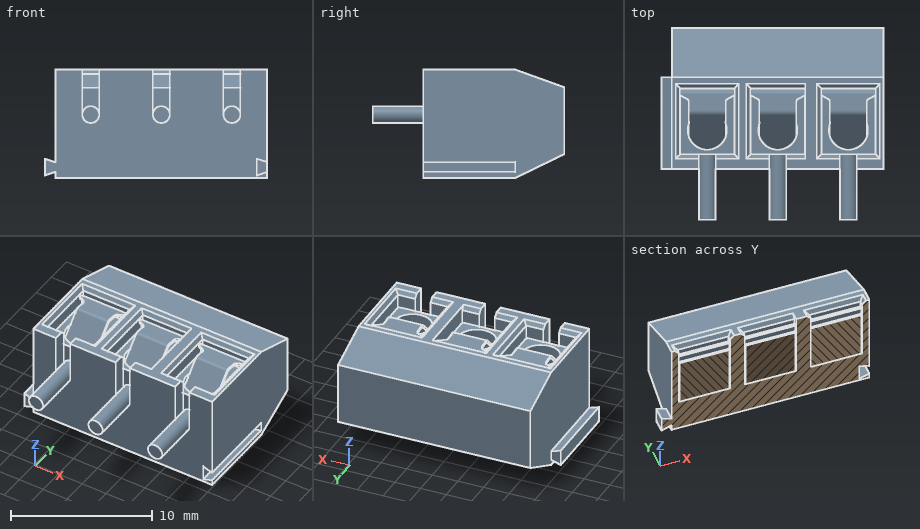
import cadquery as cq
import math


pole_count = 3
overall_width = 15.75
key_depth = 0.75
housing_width = overall_width - key_depth
housing_depth = 10.0
housing_height = 7.7
pole_pitch = housing_width / pole_count
bevel_depth = 3.5
top_bevel_drop = 1.26
bottom_bevel_rise = 1.7
bevel_start = housing_depth - bevel_depth

key_center_z = 0.79
key_outer_height = 1.2
key_root_height = 0.7

pocket_width = 3.87
pocket_front = 1.04
pocket_rear = 5.73
rim_chamfer = 0.3
unchamfered_right_pole = 1

pin_diameter = 1.2
pin_height = 4.5
pin_projection = 3.59

side_clearance = 0.03
rear_clearance = 0.05
cage_width = pocket_width - 2 * side_clearance
cage_top = 6.4
cage_height = 2 * (cage_top - pin_height)
cage_bottom = cage_top - cage_height
cage_depth = pocket_rear - pocket_front - rear_clearance
wire_hole_radius = 1.39
wire_hole_y = 2.75

leaf_thickness = 0.15
leaf_wide = pocket_width
leaf_narrow = 2.61
bend_radius = 0.41
crown_slope = 7
tongue_slope = 45
ridge_center_y = 4.1
ridge_center_z = 6.96
rear_bend_y = pocket_rear - rear_clearance - bend_radius
rear_bend_z = ridge_center_z - (rear_bend_y - ridge_center_y) * math.tan(math.radians(crown_slope))
tongue_tip_y = wire_hole_y - wire_hole_radius
flare_rear = 5.23
flare_front = 4.9
flare_fillet = 0.24
selection_margin = 0.03

pole_centers = [pole_pitch * (index + 0.5) for index in range(pole_count)]


def block(x_min, x_max, y_min, y_max, z_min, z_max):
    """Box given by its limits."""
    return cq.Workplane("XY").box(
        x_max - x_min, y_max - y_min, z_max - z_min, centered=False
    ).translate((x_min, y_min, z_min))


def dovetail(root_x):
    """Dovetail bar widening toward -X, with its narrow side at root_x."""
    outer_half = key_outer_height / 2
    root_half = key_root_height / 2
    outline = [
        (root_x, key_center_z - root_half),
        (root_x, key_center_z + root_half),
        (root_x - key_depth, key_center_z + outer_half),
        (root_x - key_depth, key_center_z - outer_half),
    ]
    return cq.Workplane("XZ").polyline(outline).close().extrude(-bevel_start)


def make_pocket(center_x, chamfer_right):
    """Pocket for the cage, with a chamfered mouth."""
    left = center_x - pocket_width / 2
    right = center_x + pocket_width / 2
    pocket = block(left, right, pocket_front, pocket_rear, cage_bottom, housing_height)

    chamfer_start = housing_height - rim_chamfer
    mouth_right = right + (rim_chamfer if chamfer_right else 0)
    lower = cq.Wire.makePolygon(
        [
            cq.Vector(left, pocket_front, chamfer_start),
            cq.Vector(right, pocket_front, chamfer_start),
            cq.Vector(right, pocket_rear, chamfer_start),
            cq.Vector(left, pocket_rear, chamfer_start),
        ],
        close=True,
    )
    upper = cq.Wire.makePolygon(
        [
            cq.Vector(left - rim_chamfer, pocket_front - rim_chamfer, housing_height),
            cq.Vector(mouth_right, pocket_front - rim_chamfer, housing_height),
            cq.Vector(mouth_right, pocket_rear + rim_chamfer, housing_height),
            cq.Vector(left - rim_chamfer, pocket_rear + rim_chamfer, housing_height),
        ],
        close=True,
    )
    mouth = cq.Workplane(cq.Solid.makeLoft([lower, upper], True))
    return pocket.union(mouth)


def make_pin_slot(center_x):
    """Slot through the front wall, open at the top and round at the bottom."""
    half = pin_diameter / 2
    return (
        cq.Workplane("XZ")
        .moveTo(center_x - half, housing_height)
        .lineTo(center_x - half, pin_height)
        .threePointArc((center_x, pin_height - half), (center_x + half, pin_height))
        .lineTo(center_x + half, housing_height)
        .close()
        .extrude(-pocket_front)
    )


def make_housing():
    side_outline = [
        (0, 0),
        (bevel_start, 0),
        (housing_depth, bottom_bevel_rise),
        (housing_depth, housing_height - top_bevel_drop),
        (bevel_start, housing_height),
        (0, housing_height),
    ]
    body = cq.Workplane("YZ").polyline(side_outline).close().extrude(housing_width)
    body = body.union(dovetail(0)).cut(dovetail(housing_width))
    for index, center_x in enumerate(pole_centers):
        body = body.cut(make_pocket(center_x, index != unchamfered_right_pole))
        body = body.cut(make_pin_slot(center_x))
    return body


def make_cage(center_x):
    """Square block with a round wire hole from top to bottom."""
    half = cage_width / 2
    rear = pocket_front + cage_depth
    wire_hole = (
        cq.Workplane("XY", origin=(center_x, wire_hole_y, cage_bottom))
        .circle(wire_hole_radius)
        .extrude(cage_height)
    )
    return block(center_x - half, center_x + half, pocket_front, rear, cage_bottom, cage_top).cut(wire_hole)


def make_pin(center_x):
    """Round pin from the cage front out through the housing front."""
    return (
        cq.Workplane("XZ", origin=(center_x, pocket_front, pin_height))
        .circle(pin_diameter / 2)
        .extrude(pocket_front + pin_projection)
    )


def on_bend(center, radius, degrees):
    """Point of a bend in the YZ plane; 0 degrees points toward the rear."""
    angle = math.radians(degrees)
    return (center[0] + radius * math.cos(angle), center[1] + radius * math.sin(angle))


def make_leaf(center_x):
    """Bent sheet: a rear foot on the cage, a sloping crown, a tongue down the wire hole."""
    rear_center = (rear_bend_y, rear_bend_z)
    ridge_center = (ridge_center_y, ridge_center_z)
    outer = bend_radius
    inner = bend_radius - leaf_thickness
    crown_normal = 90 - crown_slope
    tongue_normal = 90 + tongue_slope
    rear_mid = crown_normal / 2
    ridge_mid = (crown_normal + tongue_normal) / 2

    tongue_start = on_bend(ridge_center, outer, tongue_normal)
    tongue_drop = (tongue_start[0] - tongue_tip_y) * math.tan(math.radians(tongue_slope))
    tip_outer = (tongue_tip_y, tongue_start[1] - tongue_drop)
    tip_inner = on_bend(tip_outer, -leaf_thickness, tongue_normal)

    strip = (
        cq.Workplane("YZ", origin=(center_x - leaf_wide / 2, 0, 0))
        .moveTo(rear_bend_y + outer, cage_top)
        .lineTo(*on_bend(rear_center, outer, 0))
        .threePointArc(on_bend(rear_center, outer, rear_mid), on_bend(rear_center, outer, crown_normal))
        .lineTo(*on_bend(ridge_center, outer, crown_normal))
        .threePointArc(on_bend(ridge_center, outer, ridge_mid), tongue_start)
        .lineTo(*tip_outer)
        .lineTo(*tip_inner)
        .lineTo(*on_bend(ridge_center, inner, tongue_normal))
        .threePointArc(on_bend(ridge_center, inner, ridge_mid), on_bend(ridge_center, inner, crown_normal))
        .lineTo(*on_bend(rear_center, inner, crown_normal))
        .threePointArc(on_bend(rear_center, inner, rear_mid), on_bend(rear_center, inner, 0))
        .lineTo(rear_bend_y + inner, cage_top)
        .close()
        .extrude(leaf_wide)
    )
    return strip.intersect(make_leaf_plan(center_x))


def make_leaf_plan(center_x):
    """Prism of the leaf seen from above: wide at the rear, flared in to a narrow
    tongue whose round tip follows the front of the wire hole."""
    wide = leaf_wide / 2
    narrow = leaf_narrow / 2
    tip_start = wire_hole_y - math.sqrt(wire_hole_radius**2 - narrow**2)
    flare_roots = cq.selectors.BoxSelector(
        (center_x - narrow - selection_margin, flare_front - selection_margin, 0),
        (center_x + narrow + selection_margin, flare_front + selection_margin, housing_height),
    )
    return (
        cq.Workplane("XY", origin=(center_x, 0, 0))
        .moveTo(-narrow, tip_start)
        .threePointArc((0, tongue_tip_y), (narrow, tip_start))
        .lineTo(narrow, flare_front)
        .lineTo(wide, flare_rear)
        .lineTo(wide, pocket_rear)
        .lineTo(-wide, pocket_rear)
        .lineTo(-wide, flare_rear)
        .lineTo(-narrow, flare_front)
        .close()
        .extrude(housing_height)
        .edges("|Z")
        .edges(flare_roots)
        .fillet(flare_fillet)
    )


housing = make_housing()
cages = [make_cage(center_x) for center_x in pole_centers]
leaves = [make_leaf(center_x) for center_x in pole_centers]
pins = [make_pin(center_x) for center_x in pole_centers]

result = cq.Compound.makeCompound(
    [housing.val()] + [body.val() for body in cages + leaves + pins]
)